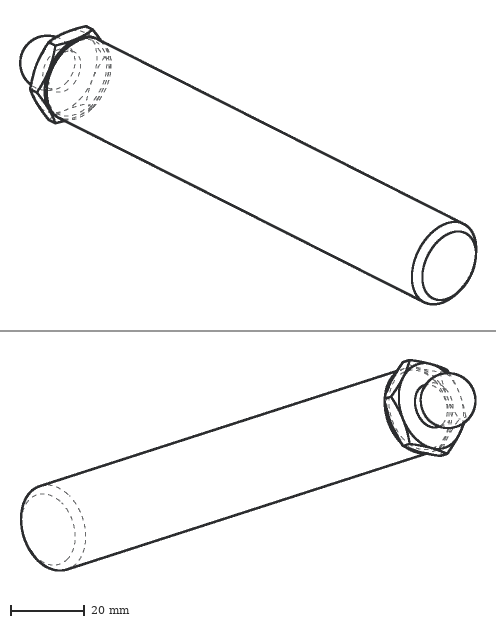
import cadquery as cq
import math

total_length = 169.0
body_diameter = 24.0
across_flats = 24.0
ball_diameter = 15.0
neck_diameter = 12.0
collar_start = 14.4
collar_thickness = 4.9
collar_sides = 6
collar_bevel_angle = 30.0
lead_chamfer = 0.8
end_chamfer = 2.0

ball_radius = ball_diameter / 2
collar_end = collar_start + collar_thickness
across_corners = across_flats / math.cos(math.pi / collar_sides)
bevel_radial = (across_corners - across_flats) / 2
bevel_axial = bevel_radial * math.tan(math.radians(collar_bevel_angle))


def rod(diameter, start, end):
    """Round bar along X between two stations."""
    return cq.Workplane("YZ", origin=(start, 0, 0)).circle(diameter / 2).extrude(end - start)


def make_collar():
    """Hexagon with corners along Y, its corners bevelled on both faces."""
    hexagon = (
        cq.Workplane("YZ", origin=(collar_start, 0, 0))
        .polygon(collar_sides, across_corners)
        .extrude(collar_thickness)
    )
    bevel_envelope = rod(across_corners, collar_start, collar_end)
    bevel_envelope = bevel_envelope.faces("<X").chamfer(bevel_axial, bevel_radial)
    bevel_envelope = bevel_envelope.faces(">X").chamfer(bevel_axial, bevel_radial)
    return hexagon.intersect(bevel_envelope)


def make_body():
    """Cylinder with a small chamfer at the collar and a larger one at the free end."""
    body = rod(body_diameter, collar_end, total_length)
    body = body.faces("<X").chamfer(lead_chamfer)
    return body.faces(">X").chamfer(end_chamfer)


def make_ball_stud():
    """Ball at the tip, joined to the collar by a plain neck."""
    ball = cq.Workplane("XY").sphere(ball_radius)
    ball = ball.rotate((0, 0, 0), (0, 1, 0), 90)
    ball = ball.translate((ball_radius, 0, 0))
    return ball.union(rod(neck_diameter, ball_radius, collar_start))


centre_shift = (-total_length / 2, 0, 0)
result = make_body().union(make_collar()).union(make_ball_stud()).translate(centre_shift)